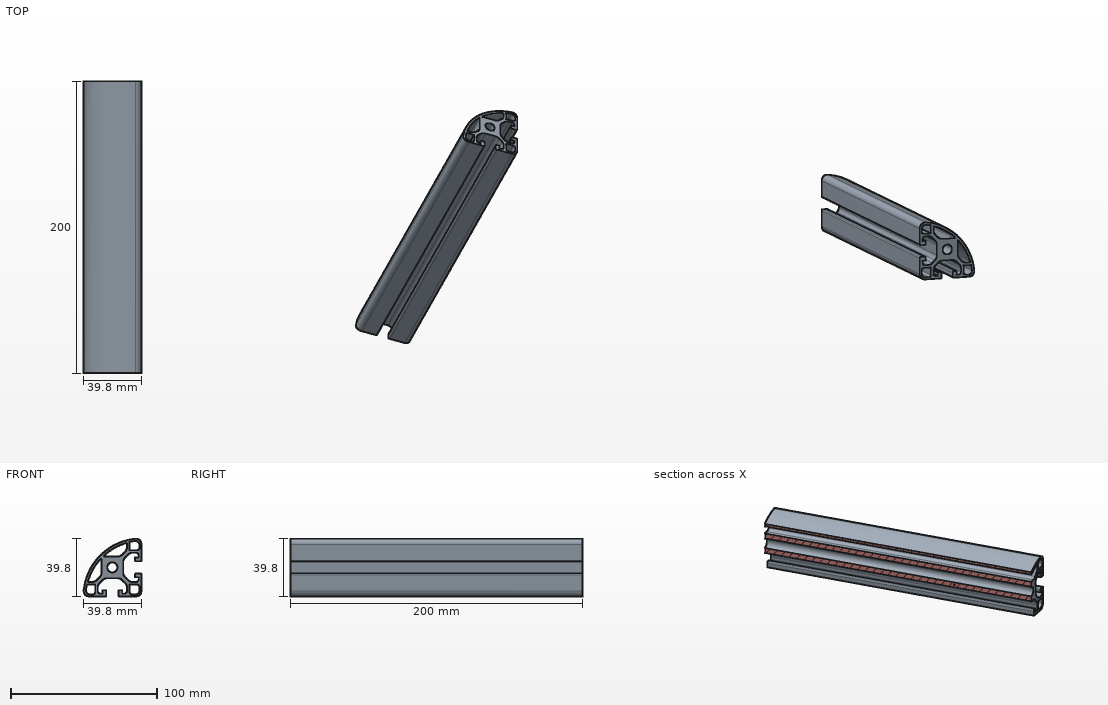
import cadquery as cq
import math

LENGTH = 200.0
HALF_SIZE = 20.0
OUTER_RADIUS = 2 * HALF_SIZE
CORNER_RADIUS = 4.0
BORE_DIAMETER = 6.8

ROUND_WALL = 1.9
ROUND_TUBE_WALL = 1.75
FLAT_WALL = 1.5
TUBE_WALL = 1.85
WEB_THICKNESS = 3.0
CORE_HALF = 7.5

SLOT_HALF_OPENING = 4.1
SLOT_HALF_WIDTH = 10.0
LIP_DEPTH = 4.5
LIP_WIDTH = 2.75
LIP_WALL = 2.0
SLOT_CORNER_RADIUS = 2.0
LIP_EDGE_RADIUS = 0.8

TUBE_CORNER_RADIUS = 2.8
TUBE_SIDE_RADIUS = 1.6
POCKET_RADIUS = 0.5
POCKET_WEB_RADIUS = 4.5
SLOT_WEB_RADIUS = 4.5

WEB_OFFSET = WEB_THICKNESS / math.sqrt(2)
TUBE_INNER = SLOT_HALF_WIDTH + TUBE_WALL
TUBE_OUTER = HALF_SIZE - FLAT_WALL
INNER_RADIUS = OUTER_RADIUS - ROUND_WALL
DIAGONAL = (1, 0, 1)


def prism(points):
    """Extrude a closed outline of (x, z) points over the whole length."""
    return cq.Workplane("XZ").polyline(points).close().extrude(LENGTH / 2, both=True)


def cylinder(x, z, radius):
    """Full-length round bar with its axis at (x, z)."""
    return cq.Workplane("XZ").center(x, z).circle(radius).extrude(LENGTH / 2, both=True)


def round_edges(body, corners, radius):
    """Fillet the lengthwise edges of a body closest to the given (x, z) corners."""
    for x, z in corners:
        nearest = cq.selectors.NearestToPointSelector((x, 0, z))
        body = body.edges("|Y").edges(nearest).fillet(radius)
    return body


def mirrored(body):
    """Mirror a body across the diagonal symmetry plane."""
    return body.mirror(DIAGONAL)


def make_blank():
    """Outer shape: a quarter disc whose three corners are rounded."""
    near, far = HALF_SIZE, HALF_SIZE - OUTER_RADIUS
    square = prism([(far, -near), (near, -near), (near, -far), (far, -far)])
    quarter = square.intersect(cylinder(near, -near, OUTER_RADIUS))
    return round_edges(quarter, [(near, -near), (near, -far), (far, -near)], CORNER_RADIUS)


def make_slot():
    """T-slot opening towards +X."""
    lip_inner = HALF_SIZE - LIP_DEPTH
    floor = HALF_SIZE - LIP_WALL
    hook = SLOT_HALF_OPENING + LIP_WIDTH
    upper = [
        (CORE_HALF, CORE_HALF - WEB_OFFSET),
        (SLOT_HALF_WIDTH + WEB_OFFSET, SLOT_HALF_WIDTH),
        (floor, SLOT_HALF_WIDTH),
        (floor, hook),
        (lip_inner, hook),
        (lip_inner, SLOT_HALF_OPENING),
        (HALF_SIZE, SLOT_HALF_OPENING),
    ]
    lower = [(x, -z) for x, z in reversed(upper)]
    slot = prism(upper + lower)
    web_ends = upper[:2] + lower[-2:]
    slot = round_edges(slot, web_ends, SLOT_WEB_RADIUS)
    slot = round_edges(slot, [(floor, SLOT_HALF_WIDTH), (floor, -SLOT_HALF_WIDTH)], SLOT_CORNER_RADIUS)
    lip_edges = [(lip_inner, SLOT_HALF_OPENING), (lip_inner, -SLOT_HALF_OPENING)]
    return round_edges(slot, lip_edges, LIP_EDGE_RADIUS)


def make_pocket():
    """Hollow above the core, closed on top by the round wall."""
    web_ends = [
        (CORE_HALF - WEB_OFFSET, CORE_HALF),
        (SLOT_HALF_WIDTH, SLOT_HALF_WIDTH + WEB_OFFSET),
    ]
    outline = [
        (-HALF_SIZE, CORE_HALF),
        *web_ends,
        (SLOT_HALF_WIDTH, HALF_SIZE),
        (-HALF_SIZE, HALF_SIZE),
    ]
    pocket = prism(outline).intersect(cylinder(HALF_SIZE, -HALF_SIZE, INNER_RADIUS))
    sharp_tip_x = HALF_SIZE - math.sqrt(INNER_RADIUS**2 - (HALF_SIZE + CORE_HALF) ** 2)
    pocket = round_edges(pocket, web_ends, POCKET_WEB_RADIUS)
    return round_edges(pocket, [(sharp_tip_x, CORE_HALF), (SLOT_HALF_WIDTH, HALF_SIZE)], POCKET_RADIUS)


def make_square_tube():
    """Hollow in the square (+X, -Z) corner."""
    inner, outer = TUBE_INNER, TUBE_OUTER
    tube = prism([(inner, -inner), (outer, -inner), (outer, -outer), (inner, -outer)])
    tube = round_edges(tube, [(outer, -outer)], TUBE_CORNER_RADIUS)
    return round_edges(tube, [(outer, -inner), (inner, -outer)], TUBE_SIDE_RADIUS)


def make_round_tube():
    """Hollow in the (+X, +Z) corner, under the end of the round wall."""
    inner, outer = TUBE_INNER, TUBE_OUTER
    tube = prism([(inner, inner), (outer, inner), (outer, HALF_SIZE), (inner, HALF_SIZE)])
    round_wall = cylinder(HALF_SIZE, -HALF_SIZE, OUTER_RADIUS - ROUND_TUBE_WALL)
    tube = tube.intersect(round_wall)
    tube = round_edges(tube, [(outer, outer)], TUBE_CORNER_RADIUS)
    return round_edges(tube, [(outer, inner)], TUBE_SIDE_RADIUS)


result = make_blank().cut(cylinder(0, 0, BORE_DIAMETER / 2)).cut(make_square_tube())
for hollow in (make_slot(), make_pocket(), make_round_tube()):
    result = result.cut(hollow).cut(mirrored(hollow))

opening_corners = []
for side in (-SLOT_HALF_OPENING, SLOT_HALF_OPENING):
    opening_corners += [(HALF_SIZE, side), (side, -HALF_SIZE)]
result = round_edges(result, opening_corners, LIP_EDGE_RADIUS)